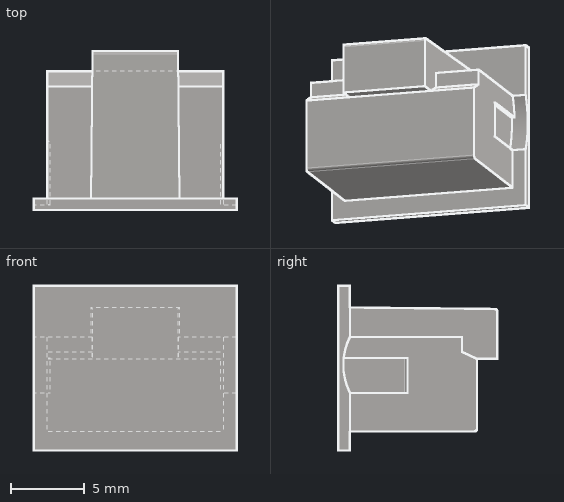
import cadquery as cq

flange_width = 13.8
flange_height = 11.2
flange_thickness = 0.8

body_width = 11.95
body_side_x = body_width / 2
body_depth = 8.63
body_top = 2.12
body_bottom = -4.31
step_y = 7.6
step_z = 1.1

tongue_length = 10.0
tongue_base_width = 6.0
tongue_rear_width = 5.8
tongue_base_top = 4.12
tongue_rear_top = 4.02
tongue_bottom = 0.62

edge_radius = 0.2

recess_depth = 0.2
recess_end_y = 3.9
recess_end_radius = 0.2
recess_top = 0.7
recess_bottom = -1.68
recess_height = recess_top - recess_bottom
recess_floor_x = body_side_x - recess_depth

relief_depth = 0.45
relief_mid_z = (body_top + recess_bottom) / 2


def make_flange():
    return cq.Workplane("XY").box(
        flange_width, flange_thickness, flange_height
    ).translate((0, -flange_thickness / 2, 0))


def make_body():
    body = (
        cq.Workplane("YZ")
        .moveTo(0, body_bottom)
        .lineTo(body_depth, body_bottom)
        .lineTo(body_depth, tongue_bottom)
        .lineTo(step_y, step_z)
        .lineTo(step_y, body_top)
        .lineTo(0, body_top)
        .close()
        .extrude(body_side_x, both=True)
    )
    return body.edges("|X").edges(">Y").edges("<Z").fillet(edge_radius)


def make_tongue():
    side_profile = (
        cq.Workplane("YZ")
        .moveTo(0, tongue_bottom)
        .lineTo(tongue_length, tongue_bottom)
        .lineTo(tongue_length, tongue_rear_top)
        .lineTo(0, tongue_base_top)
        .close()
        .extrude(tongue_base_width / 2, both=True)
        .edges("|X").edges(">Y").edges(">Z")
        .fillet(edge_radius)
    )
    plan_profile = (
        cq.Workplane("XY")
        .workplane(offset=tongue_bottom)
        .moveTo(-tongue_base_width / 2, 0)
        .lineTo(tongue_base_width / 2, 0)
        .lineTo(tongue_rear_width / 2, tongue_length)
        .lineTo(-tongue_rear_width / 2, tongue_length)
        .close()
        .extrude(tongue_base_top - tongue_bottom)
    )
    return side_profile.intersect(plan_profile)


def make_relief(inner_x):
    """Arched relief in the flange back, from inner_x out to the +X flange edge."""
    return (
        cq.Workplane("YZ")
        .workplane(offset=inner_x)
        .moveTo(0, body_top)
        .threePointArc((-relief_depth, relief_mid_z), (0, recess_bottom))
        .close()
        .extrude(flange_width / 2 - inner_x)
    )


def make_recess():
    """Finger recess in the +X body side, with a concave rounded end."""
    return (
        cq.Workplane("XY")
        .workplane(offset=recess_bottom)
        .moveTo(body_side_x, 0)
        .lineTo(recess_floor_x, 0)
        .lineTo(recess_floor_x, recess_end_y - recess_end_radius)
        .radiusArc((body_side_x, recess_end_y), recess_end_radius)
        .close()
        .extrude(recess_height)
    )


def make_side_cut():
    """Material removed on the +X side: the relief reaches deeper at the recess height."""
    recess_band = cq.Workplane("XY").box(
        flange_width, 2 * relief_depth, recess_height
    ).translate((0, 0, recess_bottom + recess_height / 2))
    inner_relief = make_relief(recess_floor_x).intersect(recess_band)
    return make_recess().union(make_relief(body_side_x)).union(inner_relief)


side_cut = make_side_cut()
result = make_flange().union(make_body()).union(make_tongue())
result = result.cut(side_cut).cut(side_cut.mirror("YZ"))